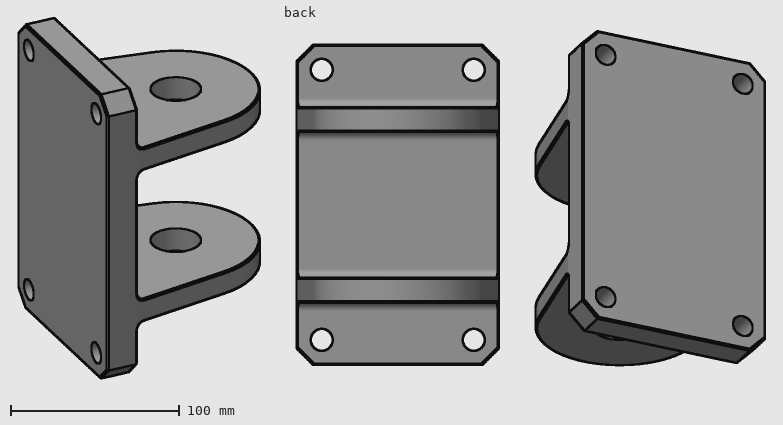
import cadquery as cq
import math

plate_height = 190.0
plate_width = 120.0
plate_thickness = 20.0
corner_cut = 10.0
edge_break = 1.0

mount_hole_diameter = 13.0
mount_spacing_x = 90.0
mount_spacing_z = 160.0

lug_radius = 50.0
lug_thickness = 15.0
lug_center_z = 50.5
pin_hole_y = 74.9
pin_hole_diameter = 30.0
root_fillet = 5.0
lug_embed = 3.8


def base_plate():
    plate = cq.Workplane("XY").box(plate_width, plate_thickness, plate_height, centered=(True, False, True))
    plate = plate.edges("|Y").chamfer(corner_cut)
    return plate.faces("<Y or >Y").edges().chamfer(edge_break)


def lug_outline(thickness):
    """Round end with straight sides tangent to it, splayed to the plate width at the plate face."""
    half_width = plate_width / 2
    reach = pin_hole_y - plate_thickness
    corner_distance = math.hypot(half_width, reach)
    tangent_angle = math.acos(lug_radius / corner_distance) - math.atan2(reach, half_width)
    tangent_x = lug_radius * math.cos(tangent_angle)
    tangent_y = pin_hole_y + lug_radius * math.sin(tangent_angle)
    root_y = plate_thickness - lug_embed
    root_x = half_width + lug_embed * math.tan(tangent_angle)
    return (
        cq.Workplane("XY")
        .moveTo(-root_x, root_y)
        .lineTo(root_x, root_y)
        .lineTo(tangent_x, tangent_y)
        .threePointArc((0, pin_hole_y + lug_radius), (-tangent_x, tangent_y))
        .close()
        .extrude(thickness / 2, both=True)
    )


def lug_profile():
    """Lug thickness along Y, flaring into the plate through the root fillets."""
    half_thickness = lug_thickness / 2
    half_flare = half_thickness + root_fillet
    root_y = plate_thickness - lug_embed
    fillet_top_y = plate_thickness + root_fillet
    tip_y = pin_hole_y + 2 * lug_radius
    arc_inset = root_fillet * (1 - math.sqrt(0.5))
    arc_y = plate_thickness + arc_inset
    arc_z = half_thickness + arc_inset
    return (
        cq.Workplane("YZ")
        .moveTo(root_y, -half_flare)
        .lineTo(plate_thickness, -half_flare)
        .threePointArc((arc_y, -arc_z), (fillet_top_y, -half_thickness))
        .lineTo(tip_y, -half_thickness)
        .lineTo(tip_y, half_thickness)
        .lineTo(fillet_top_y, half_thickness)
        .threePointArc((arc_y, arc_z), (plate_thickness, half_flare))
        .lineTo(root_y, half_flare)
        .close()
        .extrude(plate_width, both=True)
    )


def lug():
    """Lug centred on Z = 0, with its rims broken from root to tip."""
    body = lug_outline(lug_thickness + 2 * root_fillet).intersect(lug_profile())
    above_plate = cq.selectors.BoxSelector(
        (-plate_width, plate_thickness, -plate_height),
        (plate_width, plate_height, plate_height),
    )
    body = body.edges(above_plate).edges("not(|X or |Z)").chamfer(edge_break)
    width_limit = cq.Workplane("XY").box(plate_width, plate_height * 2, plate_height)
    return body.intersect(width_limit)


def pin_holes():
    """One bore passing through both lugs."""
    bore = cq.Workplane("XY").center(0, pin_hole_y).circle(pin_hole_diameter / 2)
    return bore.extrude(plate_height / 2, both=True)


def mounting_holes():
    return (
        cq.Workplane("XZ")
        .rect(mount_spacing_x, mount_spacing_z, forConstruction=True)
        .vertices()
        .circle(mount_hole_diameter / 2)
        .extrude(-plate_thickness)
    )


result = base_plate()
for lug_z in (-lug_center_z, lug_center_z):
    result = result.union(lug().translate((0, 0, lug_z)))
result = result.cut(pin_holes()).cut(mounting_holes())